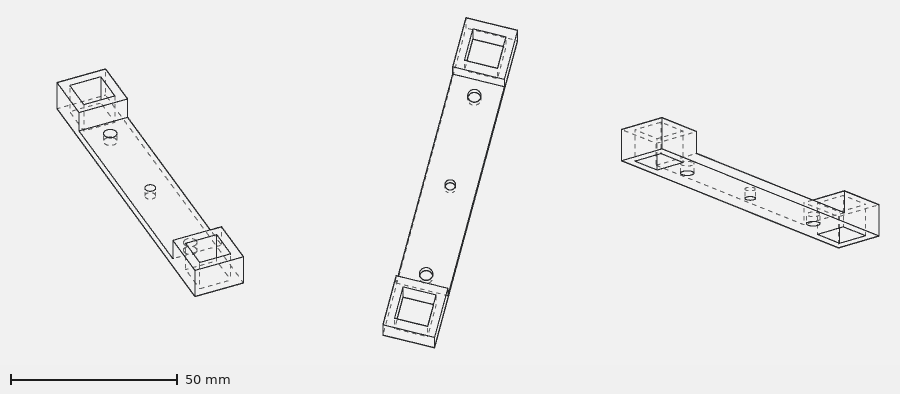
import cadquery as cq

length = 100.0
width = 16.0
height = 10.0

strip_thickness = 3.0

socket_size = width
opening_size = 10.2
socket_offset = (length - socket_size) / 2

center_hole_diameter = 3.2
mounting_hole_diameter = 4.0
mounting_hole_offset = 29.0


def make_strip():
    """Flat strip over the full length, with its bottom on Z = 0."""
    return cq.Workplane("XY").box(length, width, strip_thickness, centered=(True, True, False))


def make_square_posts(size):
    """Full-height square posts centered on both end sockets."""
    return (
        cq.Workplane("XY")
        .pushPoints([(-socket_offset, 0), (socket_offset, 0)])
        .rect(size, size)
        .extrude(height)
    )


def make_pins(diameter, x_positions):
    """Full-height cylinders on the long axis, used to cut round holes."""
    return (
        cq.Workplane("XY")
        .pushPoints([(x, 0) for x in x_positions])
        .circle(diameter / 2)
        .extrude(height)
    )


result = (
    make_strip()
    .union(make_square_posts(socket_size))
    .cut(make_square_posts(opening_size))
    .cut(make_pins(center_hole_diameter, [0]))
    .cut(make_pins(mounting_hole_diameter, [-mounting_hole_offset, mounting_hole_offset]))
)